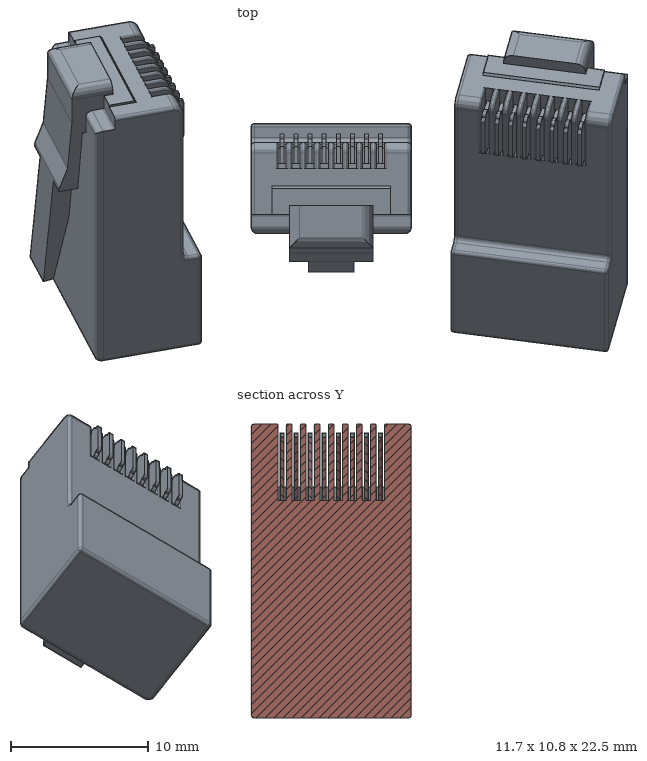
import cadquery as cq

width = 11.7
depth = 8.03
housing_top = 21.45
total_depth = 10.84
total_height = 22.48
ledge_height = 7.95
back_wall = 6.63
notch_depth = 1.4
notch_floor = 20.48
edge_radius = 0.25
front_radius = 0.5
top_back_radius = 0.75
ledge_radius = 0.35
notch_radius = 0.1

pad_width = 8.63
pad_back = 3.46
pad_height = 0.15

latch_width = 6.11
lever_width = 3.33
hook_back = 2.07
hook_radius = 0.75
latch_front = -1.05
root_bottom = 18.64
wide_bottom = 13.78
bend = (latch_front, 19.67)
ramp_start = (-1.4, 15.71)
ramp_end = (-2.02, 14.07)
tip_front = (depth - total_depth, 5.01)
tip_back = (-2.05, 5.13)
kink = (-0.85, 10.43)
gap_corner = (-0.27, 18.52)
gap_chamfer_start = -0.22

contact_count = 8
contact_span = 7.15
contact_pitch = contact_span / (contact_count - 1)
contact_width = 0.3
contact_front = 5.1
contact_back = 7.25
blade_top = 20.48
blade_bottom = 17.15
blade_radius = 0.2
neck_radius = 0.3
neck_back = 6.9
neck_front = 6.35
neck_top = blade_top + neck_radius
neck_bottom = blade_bottom - neck_radius
slot_width = 0.58
slot_front = 4.77
slot_lip_radius = 0.124
slot_floor = neck_bottom
well_back = 6.23
well_depth = 1.0
well_floor = slot_floor - well_depth

select_margin = 0.02

contact_places = [
    (index - (contact_count - 1) / 2) * contact_pitch for index in range(contact_count)
]


def box(x_size, y_range, z_range, x_center=0):
    """Box centred on x_center between two y and two z limits."""
    y_size = y_range[1] - y_range[0]
    z_size = z_range[1] - z_range[0]
    corner = (x_center - x_size / 2, y_range[0], z_range[0])
    return cq.Workplane("XY").box(x_size, y_size, z_size, centered=False).translate(corner)


def side_extrusion(points, x_size):
    """Extrude a closed (y, z) outline symmetrically about x = 0."""
    return cq.Workplane("YZ").polyline(points).close().extrude(x_size / 2, both=True)


def edges_along_x(solid, y, z):
    """Select the edge parallel to X that runs through the point (y, z)."""
    low = (-width, y - select_margin, z - select_margin)
    high = (width, y + select_margin, z + select_margin)
    return solid.edges("|X").edges(cq.selectors.BoxSelector(low, high))


def make_shell():
    """Housing block with its ledge, notch and rounded edges."""
    shell = side_extrusion(
        [
            (0, 0),
            (depth, 0),
            (depth, ledge_height),
            (back_wall, ledge_height),
            (back_wall, housing_top),
            (notch_depth, housing_top),
            (notch_depth, notch_floor),
            (0, notch_floor),
        ],
        width,
    )
    shell = edges_along_x(shell, back_wall, housing_top).fillet(top_back_radius)
    shell = edges_along_x(shell, back_wall, ledge_height).fillet(ledge_radius)
    shell = edges_along_x(shell, notch_depth, notch_floor).fillet(notch_radius)
    shell = shell.faces("<Y").edges("|Z or >Z").fillet(front_radius)

    behind_notch = cq.selectors.BoxSelector(
        (-width, notch_depth + notch_radius, edge_radius), (width, 2 * depth, total_height)
    )
    side_edges = shell.faces("<X or >X").edges(behind_notch)
    ledge_edge = edges_along_x(shell, depth, ledge_height)
    bottom_edges = shell.faces("<Z").edges()
    return side_edges.add(ledge_edge).add(bottom_edges).fillet(edge_radius)


def make_pad():
    """Low pad on the housing top with a bevelled back edge."""
    pad_top = housing_top + pad_height
    return side_extrusion(
        [
            (notch_depth, notch_floor),
            (pad_back, notch_floor),
            (pad_back, housing_top),
            (pad_back - pad_height, pad_top),
            (notch_depth, pad_top),
        ],
        pad_width,
    )


def make_latch():
    """Hooked latch: wide upper part and narrow lever from one side outline."""
    outline = [
        (hook_back, total_height),
        (latch_front, total_height),
        bend,
        ramp_start,
        ramp_end,
        tip_front,
        tip_back,
        kink,
        gap_corner,
        (gap_chamfer_start, root_bottom),
        (hook_back, root_bottom),
    ]
    wide_zone = box(latch_width, (-depth, depth), (wide_bottom, total_height))
    wide_part = side_extrusion(outline, latch_width).intersect(wide_zone)
    wide_part = wide_part.faces(">Z").edges("|Y or <Y").fillet(hook_radius)
    lever_zone = box(lever_width, (-depth, depth), (0, root_bottom))
    lever = side_extrusion(outline, lever_width).intersect(lever_zone)
    return wide_part.union(lever)


def cut_slot(housing, x_center):
    """Contact slot with rounded lips and a well in its floor."""
    slot = box(slot_width, (slot_front, depth), (slot_floor, total_height), x_center)
    housing = housing.cut(slot)
    reach = slot_width / 2 + select_margin
    top_arc_start = housing_top - top_back_radius
    around_slot = cq.selectors.BoxSelector(
        (x_center - reach, slot_front + select_margin, slot_floor - select_margin),
        (x_center + reach, depth, total_height),
    )
    on_top = cq.selectors.BoxSelector((-width, 0, top_arc_start), (width, depth, total_height))
    on_back_wall = cq.selectors.BoxSelector(
        (-width, back_wall - select_margin, 0), (width, depth, total_height)
    )
    lip_edges = housing.edges(around_slot & (on_top + on_back_wall))
    housing = lip_edges.fillet(slot_lip_radius)
    well = box(slot_width, (contact_front, well_back), (well_floor, slot_floor), x_center)
    return housing.cut(well)


def make_housing():
    """Shell, pad and latch in one piece, with all contact slots cut."""
    housing = make_shell().union(make_pad()).union(make_latch())
    for x_center in contact_places:
        housing = cut_slot(housing, x_center)
    return housing


def make_contact(x_center):
    """Flat contact: blade with rounded corners, taller rounded neck and a foot in the well."""
    blade = box(contact_width, (contact_front, contact_back), (blade_bottom, blade_top))
    blade = blade.edges(">Y and |X").fillet(blade_radius)
    neck = box(contact_width, (neck_front, neck_back), (neck_bottom, neck_top))
    neck = neck.edges(">Y and |X").fillet(neck_radius)
    foot = box(contact_width, (contact_front, well_back), (well_floor, blade_bottom))
    heel = box(contact_width, (well_back, neck_front), (neck_bottom, blade_bottom))
    contact = blade.union(neck).union(foot).union(heel)
    return contact.translate((x_center, 0, 0))


housing = make_housing()
contacts = [make_contact(x_center) for x_center in contact_places]

result = cq.Compound.makeCompound(
    [housing.solids().val(), *[contact.solids().val() for contact in contacts]]
)